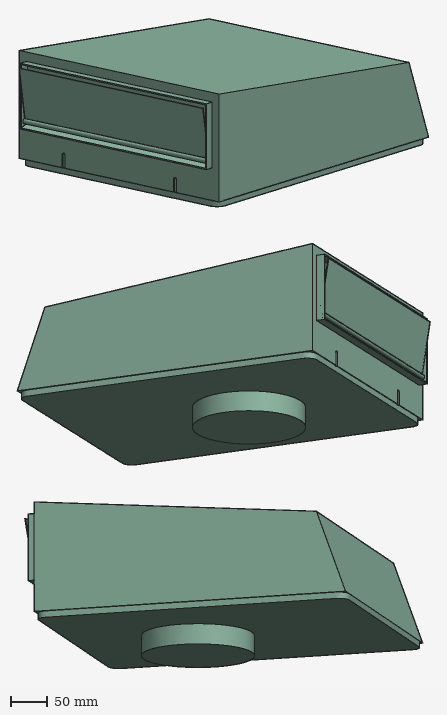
import cadquery as cq
import math


overall_height = 192.2

housing_width = 361.0
housing_depth = 450.5
front_height = 154.7
ridge_height = 116.0
ridge_setback = 42.0

slot_width = 5.5
slot_height = 21.0
slot_depth = 2.5
slot_spacing = 201.5

plate_width = 356.5
plate_front = 1.0
plate_thickness = 9.0
plate_corner_radius = 15.0
collar_radius = 78.5
collar_center_y = 181.0
collar_bottom = front_height - overall_height

frame_width = 335.5
frame_bottom = 47.0
frame_top = 141.0
frame_depth = 12.5
frame_wall = 2.0
opening_width = frame_width - 2 * frame_wall
opening_height = frame_top - frame_bottom - 2 * frame_wall
sill_rise = 4.5

flap_reach = 18.5
flap_bottom_front = 6.0
flap_bottom = 61.0
flap_top = 135.5
flap_thickness = 1.5
hinge_radius = 3.8
hinge_setback = 5.5


def extrude_across(profile, width):
    """Extrude a closed YZ profile symmetrically about X = 0."""
    return profile.extrude(width / 2, both=True)


def make_slot_cutter(center_x):
    """Round-topped slot, open at the underside of the housing."""
    arch_base = slot_height - slot_width / 2
    return (
        cq.Workplane("XZ", origin=(center_x, 0, 0))
        .moveTo(-slot_width / 2, 0)
        .lineTo(-slot_width / 2, arch_base)
        .threePointArc((0, slot_height), (slot_width / 2, arch_base))
        .lineTo(slot_width / 2, 0)
        .close()
        .extrude(-slot_depth)
    )


def make_housing():
    """Wedge-shaped hood with a sloping back and two drain slots."""
    profile = cq.Workplane("YZ").polyline([
        (0, 0),
        (0, front_height),
        (housing_depth - ridge_setback, ridge_height),
        (housing_depth, 0),
    ]).close()
    body = extrude_across(profile, housing_width)
    for side in (-1, 1):
        body = body.cut(make_slot_cutter(side * slot_spacing / 2))
    return body


def make_base_plate():
    """Flat plate with rounded corners under the housing."""
    length = housing_depth - plate_front
    return (
        cq.Workplane("XY", origin=(0, plate_front + length / 2, -plate_thickness))
        .rect(plate_width, length)
        .extrude(plate_thickness)
        .edges("|Z")
        .fillet(plate_corner_radius)
    )


def make_collar():
    """Round duct connection below the base plate."""
    return (
        cq.Workplane("XY", origin=(0, collar_center_y, collar_bottom))
        .circle(collar_radius)
        .extrude(-plate_thickness - collar_bottom)
    )


def make_frame():
    """Thin rectangular frame with a sloping sill inside its lower wall."""
    ring = (
        cq.Workplane("XZ", origin=(0, 0, (frame_bottom + frame_top) / 2))
        .rect(frame_width, frame_top - frame_bottom)
        .rect(opening_width, opening_height)
        .extrude(frame_depth)
    )
    sill_bottom = frame_bottom + frame_wall
    sill_profile = cq.Workplane("YZ").polyline([
        (0, frame_bottom),
        (0, sill_bottom + sill_rise),
        (-frame_depth, sill_bottom),
        (-frame_depth, frame_bottom),
    ]).close()
    return ring.union(extrude_across(sill_profile, frame_width))


def make_flap():
    """Thin plate leaning outwards at its top edge."""
    lean = math.atan2(flap_reach - flap_bottom_front, flap_top - flap_bottom)
    thickness_in_y = flap_thickness / math.cos(lean)
    profile = cq.Workplane("YZ").polyline([
        (-flap_bottom_front, flap_bottom),
        (-flap_reach, flap_top),
        (-flap_reach + thickness_in_y, flap_top),
        (-flap_bottom_front + thickness_in_y, flap_bottom),
    ]).close()
    return extrude_across(profile, opening_width)


def make_hinge_bar():
    """Round bar along the lower edge of the flap, spanning the frame opening."""
    profile = (
        cq.Workplane("YZ")
        .center(-hinge_setback, flap_bottom - hinge_radius)
        .circle(hinge_radius)
    )
    return extrude_across(profile, opening_width)


housing = make_housing()
base_plate = make_base_plate()
collar = make_collar()
frame = make_frame()
flap = make_flap()
hinge_bar = make_hinge_bar()

result = cq.Compound.makeCompound([
    housing.val(),
    base_plate.val(),
    collar.val(),
    frame.val(),
    flap.val(),
    hinge_bar.val(),
])